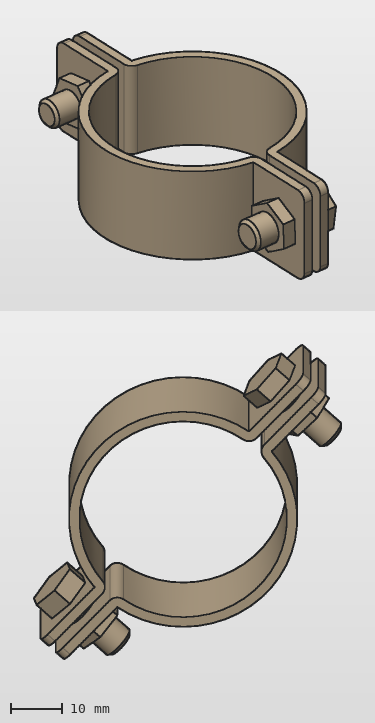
import cadquery as cq
import math

clamp_length = 73.95
clamp_width = 20.0
bore_radius = 20.0
strap_thickness = 2.0
ear_gap = 2.0
bend_radius = 2.0
ear_corner_radius = 2.0

ring_radius = bore_radius + strap_thickness
ear_inner_y = ear_gap / 2
ear_outer_y = ear_inner_y + strap_thickness

bolt_offset = 29.4
hex_radius = 5.5
nut_thickness = 2.9
tip_chamfer = 0.7

left_bolt = {
    "x": -bolt_offset,
    "diameter": 6.1,
    "head_height": 3.6,
    "tip_y": -11.9,
    "head_angle": -13.0,
    "nut_angle": 8.0,
}
right_bolt = {
    "x": bolt_offset,
    "diameter": 6.6,
    "head_height": 4.1,
    "tip_y": -11.0,
    "head_angle": 22.0,
    "nut_angle": 32.0,
}
bolts = [left_bolt, right_bolt]


def y_cylinder(radius, x, start_y, end_y):
    """Cylinder along Y, from start_y down to end_y."""
    return (
        cq.Workplane("XZ", origin=(x, start_y, 0))
        .circle(radius)
        .extrude(start_y - end_y)
    )


def hex_prism(x, start_y, end_y, angle):
    """Hexagonal prism along Y, with its first corner turned from +X by angle."""
    corners = []
    for side in range(6):
        turn = math.radians(angle + 60 * side)
        corners.append((hex_radius * math.cos(turn), hex_radius * math.sin(turn)))
    return (
        cq.Workplane("XZ", origin=(x, start_y, 0))
        .polyline(corners)
        .close()
        .extrude(start_y - end_y)
    )


def half_strap():
    """Half ring on the +Y side, with an ear at each end."""
    ears = cq.Workplane("XY").box(clamp_length, strap_thickness, clamp_width)
    ears = ears.edges("|Y").fillet(ear_corner_radius)
    ears = ears.translate((0, (ear_inner_y + ear_outer_y) / 2, 0))

    upper_half = (
        cq.Workplane("XY")
        .box(2 * ring_radius, ring_radius, clamp_width)
        .translate((0, ear_inner_y + ring_radius / 2, 0))
    )
    ring = cq.Workplane("XY").circle(ring_radius).extrude(clamp_width / 2, both=True)
    bore = cq.Workplane("XY").circle(bore_radius).extrude(clamp_width / 2, both=True)
    strap = ears.union(ring.intersect(upper_half)).cut(bore)

    bore_edge_x = math.sqrt(bore_radius**2 - ear_inner_y**2)
    for x in (-bore_edge_x, bore_edge_x):
        bend_edge = cq.selectors.NearestToPointSelector((x, ear_inner_y, 0))
        strap = strap.edges("|Z").edges(bend_edge).fillet(bend_radius)
    return strap


def shank(bolt):
    """Round shank from the underside of the head to the chamfered tip."""
    rod = y_cylinder(bolt["diameter"] / 2, bolt["x"], ear_outer_y, bolt["tip_y"])
    return rod.faces("<Y").chamfer(tip_chamfer)


def bolted_half():
    """Rear half clamp, carrying both bolts as part of it."""
    body = half_strap()
    for bolt in bolts:
        head_top_y = ear_outer_y + bolt["head_height"]
        head = hex_prism(bolt["x"], head_top_y, ear_outer_y, bolt["head_angle"])
        body = body.union(head).union(shank(bolt))
    return body


def nut_half():
    """Front half clamp, carrying both nuts and bored to fit the shanks."""
    body = half_strap().mirror("XZ")
    nut_end_y = -ear_outer_y - nut_thickness
    for bolt in bolts:
        nut = hex_prism(bolt["x"], -ear_outer_y, nut_end_y, bolt["nut_angle"])
        hole = y_cylinder(bolt["diameter"] / 2, bolt["x"], 0, nut_end_y)
        body = body.union(nut).cut(hole)
    return body


rear_clamp = bolted_half()
front_clamp = nut_half()

result = cq.Compound.makeCompound([rear_clamp.val(), front_clamp.val()])